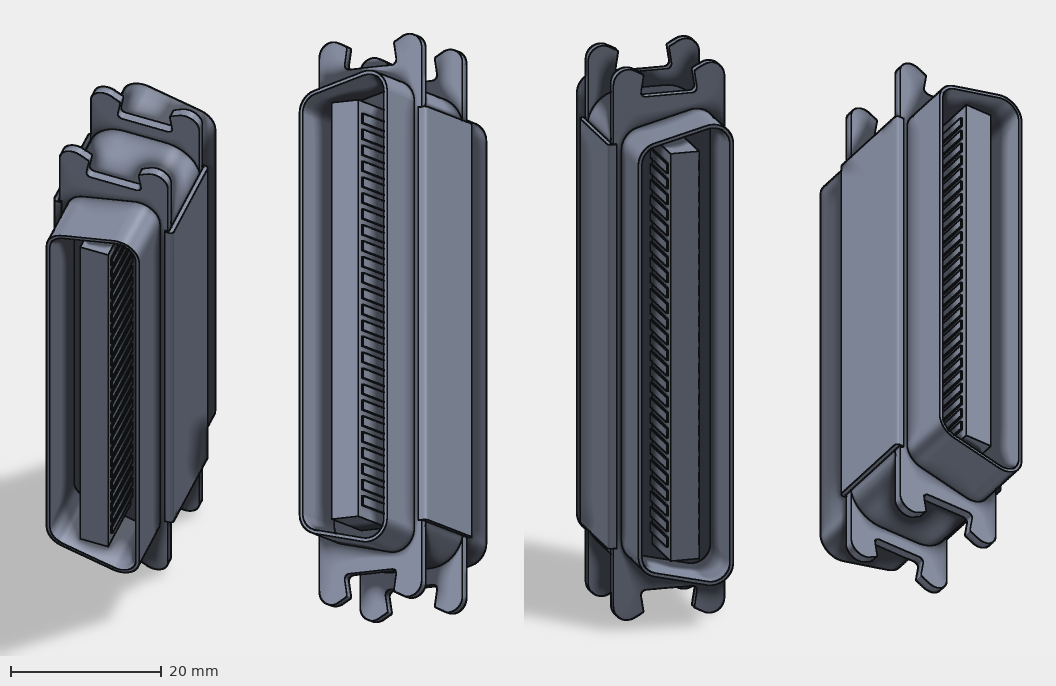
import cadquery as cq
import math


total_height = 76.35
total_depth = 27.95
total_width = 17.0

flange_width = 15.4
flange_thickness = 1.2
flange_face_y = 6.3
ear_radius = 2.0
ear_slope = 28.0
slot_mouth_width = 7.0
slot_depth = 4.0
slot_undercut_angle = 9.0
slot_mouth_fillet = 0.3
slot_floor_fillet = 0.7

shell_width = 13.2
shell_height = 63.9
shell_taper = 14.0
shell_corner_radius = 3.0
shell_wall = 0.5

housing_width = 15.7
housing_depth = 2 * (flange_face_y - flange_thickness)
housing_corner_radius = 5.0
tongue_width = 4.0
tongue_height = 56.5
tongue_recess = 0.5

contact_count = 25
contact_pitch = 2.16
contact_width = 1.3
contact_proud = 0.2
contact_setback = 1.0

clip_height = 56.0
clip_lip_thickness = 0.27
clip_lip_reach = 1.15
clip_edge_radius = 0.5

half_depth = total_depth / 2
tongue_tip_y = half_depth - tongue_recess
clip_depth = 2 * (flange_face_y + clip_lip_thickness)


def prism(profile, start_y, end_y):
    """Extrude an XZ profile toward -Y, between two distances from the middle plane."""
    return profile.extrude(end_y - start_y).translate((0, -start_y, 0))


def turned_copy(body):
    """The same body turned half a turn about Z, for the socket on the other side."""
    return body.rotate((0, 0, 0), (0, 0, 1), 180)


def tapered_outline(inset):
    """Rounded trapezoid, taller toward +X, pulled in by inset on every side."""
    half_width = shell_width / 2 - inset
    radius = shell_corner_radius - inset
    slope = math.radians(shell_taper)
    tall_x = half_width - radius
    short_x = -tall_x
    tall_z = shell_height / 2 - shell_corner_radius
    short_z = tall_z - (tall_x - short_x) * math.tan(slope)

    def on_arc(center_x, center_z, angle):
        return center_x + radius * math.cos(angle), center_z + radius * math.sin(angle)

    def lower(point):
        return point[0], -point[1]

    normal = math.pi / 2 + slope
    tall_end = on_arc(tall_x, tall_z, normal)
    tall_middle = on_arc(tall_x, tall_z, normal / 2)
    short_start = on_arc(short_x, short_z, normal)
    short_middle = on_arc(short_x, short_z, (normal + math.pi) / 2)
    return (
        cq.Workplane("XZ")
        .moveTo(half_width, -tall_z)
        .lineTo(half_width, tall_z)
        .threePointArc(tall_middle, tall_end)
        .lineTo(*short_start)
        .threePointArc(short_middle, (-half_width, short_z))
        .lineTo(-half_width, -short_z)
        .threePointArc(lower(short_middle), lower(short_start))
        .lineTo(*lower(tall_end))
        .threePointArc(lower(tall_middle), (half_width, -tall_z))
        .close()
    )


def at_height(z):
    """Selector for whatever is centred at height z."""
    tolerance = 0.01
    return cq.selectors.BoxSelector(
        (-total_width, -total_depth, z - tolerance), (total_width, total_depth, z + tolerance)
    )


def flange_half():
    """Upper half of the flange: two rounded ears around an undercut slot."""
    half_width = flange_width / 2
    top_z = total_height / 2
    floor_z = top_z - slot_depth
    slope = math.radians(ear_slope)
    ear_x = half_width - ear_radius
    ear_z = top_z - ear_radius
    slope_x = ear_x - ear_radius * math.sin(slope)
    slope_z = ear_z + ear_radius * math.cos(slope)
    middle_angle = (math.pi / 2 + slope) / 2
    ear_middle = (ear_x + ear_radius * math.cos(middle_angle), ear_z + ear_radius * math.sin(middle_angle))
    mouth_x = slot_mouth_width / 2
    mouth_z = slope_z - (slope_x - mouth_x) * math.tan(slope)
    floor_x = mouth_x + (mouth_z - floor_z) * math.tan(math.radians(slot_undercut_angle))
    profile = (
        cq.Workplane("XZ")
        .moveTo(half_width, 0)
        .lineTo(half_width, ear_z)
        .threePointArc(ear_middle, (slope_x, slope_z))
        .lineTo(mouth_x, mouth_z)
        .lineTo(floor_x, floor_z)
        .lineTo(-floor_x, floor_z)
        .lineTo(-mouth_x, mouth_z)
        .lineTo(-slope_x, slope_z)
        .threePointArc((-ear_middle[0], ear_middle[1]), (-half_width, ear_z))
        .lineTo(-half_width, 0)
        .close()
    )
    half = prism(profile, flange_face_y - flange_thickness, flange_face_y)
    half = half.edges("|Y").edges(at_height(floor_z)).fillet(slot_floor_fillet)
    return half.edges("|Y").edges(at_height(mouth_z)).fillet(slot_mouth_fillet)


def make_shell():
    """Thin tapered tube standing on its flange, open right through."""
    upper = flange_half()
    flange = upper.union(upper.mirror("XY"))
    back_y = flange_face_y - flange_thickness
    tube = prism(tapered_outline(0), back_y, half_depth)
    bore = prism(tapered_outline(shell_wall), back_y, half_depth)
    return flange.union(tube).cut(bore)


def make_tongue():
    """Tongue that fills the middle of one shell, with a row of contacts on each side."""
    root_y = housing_depth / 2
    tongue = prism(cq.Workplane("XZ").rect(tongue_width, tongue_height), root_y, tongue_tip_y)
    contacts = prism(
        cq.Workplane("XZ")
        .rarray(0.8, contact_pitch, 1, contact_count)
        .rect(tongue_width + 2 * contact_proud, contact_width),
        root_y,
        tongue_tip_y - contact_setback,
    )
    return tongue.union(contacts)


def make_housing():
    """Rounded block between the flanges, in one piece with both tongues."""
    block = (
        cq.Workplane("XY")
        .box(housing_width, housing_depth, shell_height)
        .edges("|Y")
        .fillet(housing_corner_radius)
    )
    tongue = make_tongue()
    return block.union(tongue).union(turned_copy(tongue))


def make_clip():
    """Channel along the -X side whose lips hold both flanges against the housing."""
    bar_x = -(total_width - clip_lip_reach) / 2
    bar = (
        cq.Workplane("XY")
        .box(clip_lip_reach, clip_depth, clip_height)
        .edges("|Z and <X")
        .fillet(clip_edge_radius)
        .translate((bar_x, 0, 0))
    )
    channel = cq.Workplane("XY").box(housing_width, 2 * flange_face_y, clip_height)
    return bar.cut(channel)


shell = make_shell()
clip = make_clip()
housing = make_housing()
shells = [shell, turned_copy(shell)]
clips = [clip, turned_copy(clip)]

result = cq.Compound.makeCompound(
    [housing.val()] + [body.val() for body in shells] + [body.val() for body in clips]
)